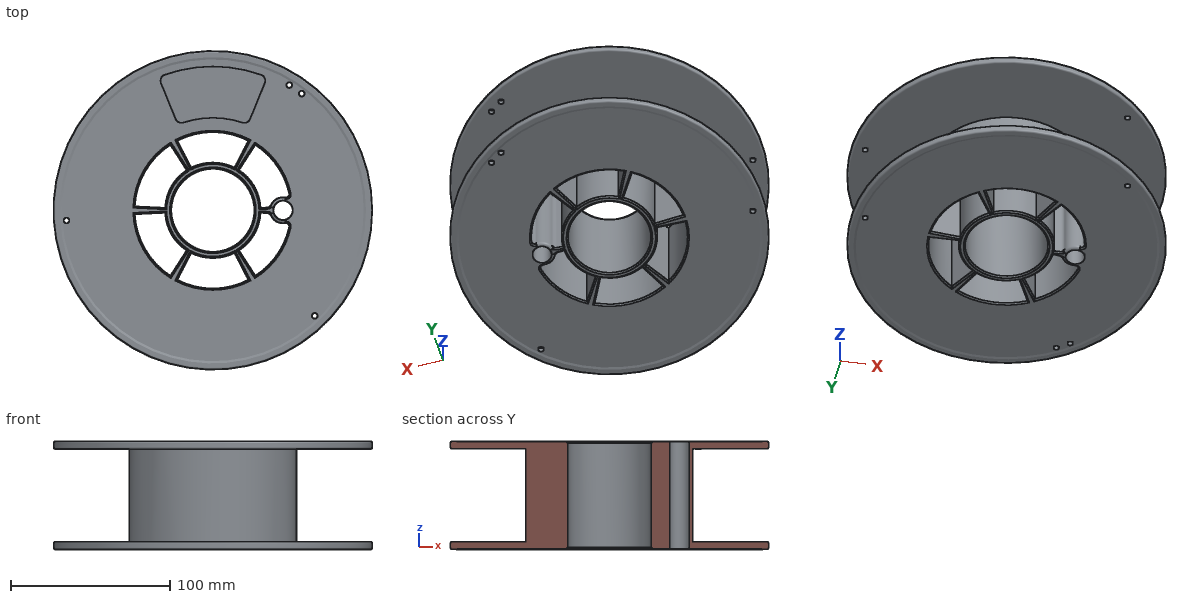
import cadquery as cq
import math

flange_radius = 100.0
spool_height = 68.0
flange_thickness = 5.0
flange_edge_fillet = 1.2
barrel_radius = 52.5

dish_rim_radius = 96.0
dish_floor_radius = 94.5
dish_depth = 0.5

bore_radius = 26.0
hub_radius = 30.0
window_outer_radius = 49.0
spoke_count = 6
spoke_width_at_hub = 3.0
spoke_width_at_barrel = 5.2
window_chamfer = 1.0

tube_center_x = 44.0
tube_radius = 8.2
tube_bore_radius = 6.0
tube_barrel_blend = 2.0
tube_spoke_blend = 3.0
tube_end_radius = 2.0
tube_end_stop_angle = 165.0
tube_end_clearance = 0.2

filament_hole_diameter = 3.5
filament_hole_circle_radius = 92.0
filament_hole_angles = (52.7, 58.6, 184.0, 314.0)

badge_inner_radius = 58.0
badge_outer_radius = 90.2
badge_half_angle = 22.2
badge_corner_radius = 4.0
badge_depth = 0.2

selection_margin = 1.0

floor_top = spool_height / 2 - dish_depth
floor_height = 2 * floor_top

blend_to_tube = tube_radius + tube_barrel_blend
blend_to_axis = window_outer_radius - tube_barrel_blend
tube_end_start_angle = math.degrees(math.acos(
    (blend_to_axis**2 - blend_to_tube**2 - tube_center_x**2) / (2 * blend_to_tube * tube_center_x)
))


def polar(radius, degrees):
    """Plan point at a radius and an angle from +X."""
    angle = math.radians(degrees)
    return (radius * math.cos(angle), radius * math.sin(angle))


def cylinder(radius, height, center_x=0.0):
    """Upright cylinder centred on mid-height."""
    base = cq.Workplane("XY", origin=(center_x, 0, -height / 2))
    return base.circle(radius).extrude(height)


def box_around(x_min, x_max, half_width):
    """Full-height selector for edges centred within a little of the given plan area."""
    return cq.selectors.BoxSelector(
        (x_min - selection_margin, -half_width - selection_margin, -spool_height),
        (x_max + selection_margin, half_width + selection_margin, spool_height),
    )


def flange():
    """Upper flange disc with rounded edges and dished outer face."""
    disc = (
        cq.Workplane("XY")
        .workplane(offset=spool_height / 2 - flange_thickness)
        .circle(flange_radius)
        .extrude(flange_thickness)
        .edges()
        .fillet(flange_edge_fillet)
    )
    dish = cq.Solid.makeCone(
        dish_floor_radius, dish_rim_radius, dish_depth, pnt=cq.Vector(0, 0, floor_top)
    )
    return disc.cut(cq.Workplane(dish))


def spoke(angle):
    """Radial web, slightly wider at the barrel than at the hub."""
    inner_x = (bore_radius + hub_radius) / 2
    outer_x = (window_outer_radius + barrel_radius) / 2
    return (
        cq.Workplane("XY", origin=(0, 0, -floor_top))
        .polyline([
            (inner_x, -spoke_width_at_hub / 2),
            (outer_x, -spoke_width_at_barrel / 2),
            (outer_x, spoke_width_at_barrel / 2),
            (inner_x, spoke_width_at_hub / 2),
        ])
        .close()
        .extrude(floor_height)
        .rotate((0, 0, 0), (0, 0, 1), angle)
    )


def windows():
    """Openings between hub, barrel, spokes and tube."""
    openings = cylinder(window_outer_radius, floor_height).cut(cylinder(hub_radius, floor_height))
    for index in range(spoke_count):
        openings = openings.cut(spoke(index * 360 / spoke_count))
    openings = openings.cut(cylinder(tube_radius, floor_height, tube_center_x))
    spoke_corners = box_around(tube_center_x - tube_radius, tube_center_x, tube_radius)
    barrel_corners = box_around(tube_center_x, window_outer_radius, tube_radius)
    openings = openings.edges("|Z").edges(spoke_corners).fillet(tube_spoke_blend)
    return openings.edges("|Z").edges(barrel_corners).fillet(tube_barrel_blend)


def tube_end_round(start_angle, end_angle):
    """Cutter that rounds the upper tube end over a range of angles about the tube axis."""
    inner = tube_radius - tube_end_radius
    shoulder = floor_top - tube_end_radius
    outer = tube_radius + tube_end_clearance
    arc_middle = tube_end_radius * math.sqrt(0.5)
    return (
        cq.Workplane("XZ")
        .moveTo(inner, floor_top)
        .threePointArc((inner + arc_middle, shoulder + arc_middle), (tube_radius, shoulder))
        .lineTo(outer, shoulder)
        .lineTo(outer, floor_top)
        .close()
        .revolve(end_angle - start_angle, (0, 0), (0, 1))
        .rotate((0, 0, 0), (0, 0, 1), start_angle)
        .translate((tube_center_x, 0, 0))
    )


def badge_field():
    """Sector recess with rounded corners centred on +Y."""
    left = 90 + badge_half_angle
    right = 90 - badge_half_angle
    return (
        cq.Workplane("XY")
        .workplane(offset=floor_top - badge_depth)
        .moveTo(*polar(badge_outer_radius, left))
        .threePointArc((0, badge_outer_radius), polar(badge_outer_radius, right))
        .lineTo(*polar(badge_inner_radius, right))
        .threePointArc((0, badge_inner_radius), polar(badge_inner_radius, left))
        .close()
        .extrude(2 * badge_depth)
        .edges("|Z")
        .fillet(badge_corner_radius)
    )


def chamfer_rims(spool):
    """Chamfer the rims of the bore and of the windows on both dish floors."""
    reach = window_outer_radius + selection_margin
    rims = cq.selectors.BoxSelector(
        (-reach, -reach, -spool_height), (reach, reach, spool_height), boundingbox=True
    )
    return spool.faces("|Z").edges(rims).chamfer(window_chamfer)


def filament_holes():
    """Drills for the filament ends, through both flanges."""
    centers = [polar(filament_hole_circle_radius, angle) for angle in filament_hole_angles]
    base = cq.Workplane("XY", origin=(0, 0, -spool_height / 2))
    return base.pushPoints(centers).circle(filament_hole_diameter / 2).extrude(spool_height)


upper_flange = flange()
body = cylinder(barrel_radius, floor_height)
body = body.union(upper_flange).union(upper_flange.mirror("XY"))

body = body.cut(windows()).cut(cylinder(bore_radius, spool_height))
body = chamfer_rims(body)

end_round = tube_end_round(tube_end_start_angle, tube_end_stop_angle)
end_round = end_round.union(end_round.mirror("XZ"))
body = body.cut(end_round).cut(end_round.mirror("XY"))
body = body.cut(cylinder(tube_bore_radius, spool_height, tube_center_x))

body = body.cut(filament_holes()).cut(badge_field())

result = body